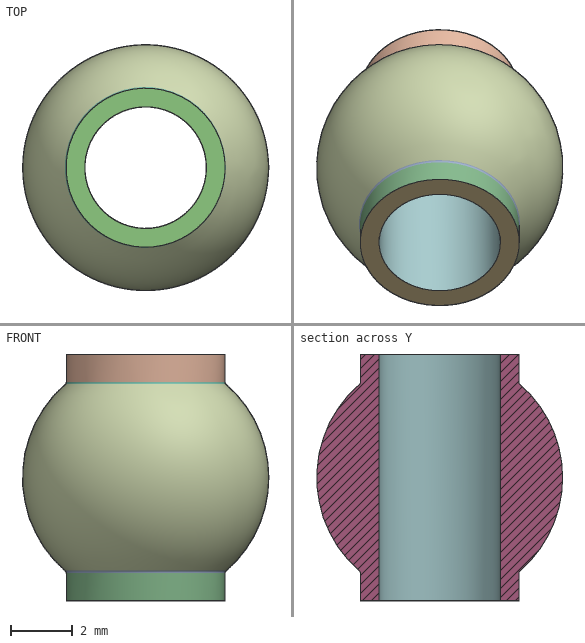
import cadquery as cq
import math

ball_diameter = 8.0
height = 8.0
collar_diameter = 5.16
bore_diameter = 3.94
neck_fillet = 0.1

ball_radius = ball_diameter / 2
collar_radius = collar_diameter / 2
bore_radius = bore_diameter / 2
half_height = height / 2

fillet_center_r = collar_radius + neck_fillet
fillet_center_z = math.sqrt((ball_radius + neck_fillet) ** 2 - fillet_center_r**2)

ball_share = ball_radius / (ball_radius + neck_fillet)
ball_edge_r = fillet_center_r * ball_share
ball_edge_z = fillet_center_z * ball_share

ball_direction = math.atan2(fillet_center_z, fillet_center_r)
fillet_mid_angle = math.pi + ball_direction / 2
fillet_mid_r = fillet_center_r + neck_fillet * math.cos(fillet_mid_angle)
fillet_mid_z = fillet_center_z + neck_fillet * math.sin(fillet_mid_angle)

half_section = (
    cq.Workplane("XZ")
    .moveTo(bore_radius, half_height)
    .lineTo(collar_radius, half_height)
    .lineTo(collar_radius, fillet_center_z)
    .threePointArc((fillet_mid_r, fillet_mid_z), (ball_edge_r, ball_edge_z))
    .threePointArc((ball_radius, 0), (ball_edge_r, -ball_edge_z))
    .threePointArc((fillet_mid_r, -fillet_mid_z), (collar_radius, -fillet_center_z))
    .lineTo(collar_radius, -half_height)
    .lineTo(bore_radius, -half_height)
    .close()
)

result = half_section.revolve(360, (0, 0, 0), (0, 1, 0))